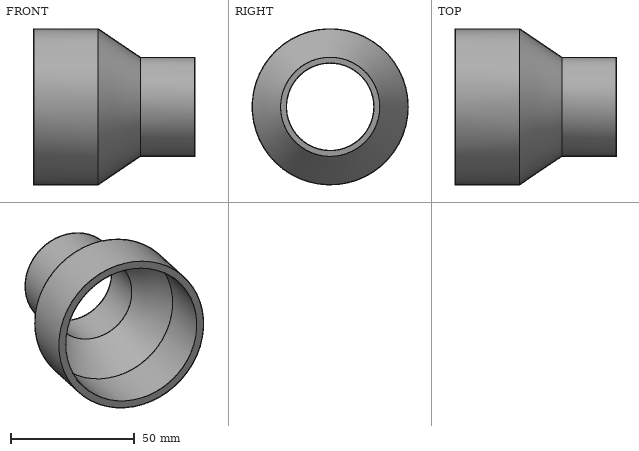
import cadquery as cq

large_outer_diameter = 63.0
large_inner_diameter = 57.0
small_outer_diameter = 40.0
small_inner_diameter = 35.2

large_length = 26.0
cone_length = 17.0
small_length = 22.0

cone_start = large_length
cone_end = cone_start + cone_length
total_length = cone_end + small_length


def stepped_cone(large_diameter, small_diameter):
    """Solid of revolution about X: large cylinder, cone, small cylinder."""
    large_radius = large_diameter / 2
    small_radius = small_diameter / 2
    half_profile = [
        (0, 0),
        (0, large_radius),
        (cone_start, large_radius),
        (cone_end, small_radius),
        (total_length, small_radius),
        (total_length, 0),
    ]
    return (
        cq.Workplane("XY")
        .polyline(half_profile)
        .close()
        .revolve(360, (0, 0, 0), (1, 0, 0))
    )


outer_body = stepped_cone(large_outer_diameter, small_outer_diameter)
bore = stepped_cone(large_inner_diameter, small_inner_diameter)

result = outer_body.cut(bore)